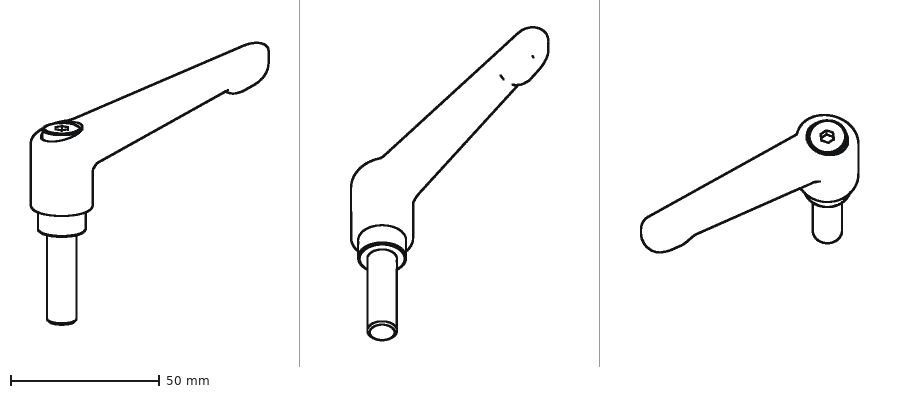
import cadquery as cq
import math


stud_radius = 5.0
stud_length = 32.0
stud_chamfer = 0.8
collar_radius = 8.1
collar_height = 8.0
collar_chamfer = 0.5

hub_radius = 10.5
hub_bottom = collar_height
hub_bottom_fillet = 1.0
recess_radius = 7.0
recess_depth = 5.0

top_slope = math.tan(math.radians(15))
top_z_at_axis = 34.72
top_edge_fillet = 2.0

tip_reach = 78.0
tip_radius = 6.0
tip_y = tip_reach - tip_radius
root_half_width = 7.4
root_y = 7.7
root_fillet = 1.5

grip_angle = math.radians(20)
grip_end_y = 61.3
grip_end_z = 40.8
knob_drop = 3.1
step_angle = math.radians(38)
step_top_radius = 0.3
knob_heel_radius = 5.9
tip_underside_radius = 9.2
tip_clearance = 0.1
throat_y = 10.1
throat_radius = 3.0
under_fillet = 5.7

head_radius = 6.5
head_top = 36.0
head_chamfer = 0.5
hex_across_flats = 4.2
hex_depth = 3.0

clear_top = 70.0
clear_reach = tip_reach + tip_radius
recess_floor = top_z_at_axis - top_slope * recess_radius - recess_depth


def top_z(y):
    """Height of the sloping top face."""
    return top_z_at_axis + top_slope * y


def grip_z(y):
    """Height of the grip's underside."""
    return grip_end_z + math.tan(grip_angle) * (y - grip_end_y)


def knob_z(y):
    """Height of the knob's underside."""
    return grip_z(y) - knob_drop / math.cos(grip_angle)


def make_arm_plan():
    """Prism with the arm's tapered plan, from the hub's bottom up past its top face."""
    taper = math.asin((root_half_width - tip_radius) / (tip_y - root_y))
    tangent_x = tip_radius * math.cos(taper)
    tangent_y = tip_y + tip_radius * math.sin(taper)
    axis_half_width = tangent_x + tangent_y * math.tan(taper)
    return (
        cq.Workplane("XY")
        .workplane(offset=hub_bottom)
        .moveTo(-axis_half_width, 0)
        .lineTo(-tangent_x, tangent_y)
        .threePointArc((0, tip_reach), (tangent_x, tangent_y))
        .lineTo(axis_half_width, 0)
        .close()
        .extrude(clear_top - hub_bottom)
    )


def make_arm_side():
    """Slab with the arm's side outline, wider than the arm, its corners rounded."""
    step_length = knob_drop / math.sin(step_angle + grip_angle)
    heel_y = grip_end_y + step_length * math.cos(step_angle)
    end_y = tip_reach + tip_clearance
    tip_point = (end_y, knob_z(end_y))
    throat_point = (throat_y, grip_z(throat_y))
    step_top_point = (grip_end_y, grip_end_z)
    heel_point = (heel_y, knob_z(heel_y))
    slab = (
        cq.Workplane("YZ")
        .moveTo(0, hub_bottom + hub_bottom_fillet)
        .lineTo(throat_y, hub_bottom + hub_bottom_fillet)
        .lineTo(*throat_point)
        .lineTo(*step_top_point)
        .lineTo(*heel_point)
        .lineTo(*tip_point)
        .lineTo(end_y, clear_top)
        .lineTo(0, clear_top)
        .close()
        .extrude(hub_radius, both=True)
    )
    corners = [
        (throat_point, throat_radius),
        (step_top_point, step_top_radius),
        (heel_point, knob_heel_radius),
        (tip_point, tip_underside_radius),
    ]
    for (y, z), radius in corners:
        slab = slab.edges(cq.selectors.NearestToPointSelector((0, y, z))).fillet(radius)
    return slab


def make_arm():
    """Arm with its underside rounded and its top still uncut."""
    arm = make_arm_plan().intersect(make_arm_side())
    tip_rim = cq.selectors.NearestToPointSelector((0, tip_reach, knob_z(tip_reach)))
    return arm.edges(tip_rim).fillet(under_fillet)


def cut_above_top(body):
    """Trim everything above the sloping top face."""
    start_y = -2 * hub_radius
    above = (
        cq.Workplane("YZ")
        .moveTo(start_y, top_z(start_y))
        .lineTo(clear_reach, top_z(clear_reach))
        .lineTo(clear_reach, 2 * clear_top)
        .lineTo(start_y, 2 * clear_top)
        .close()
        .extrude(2 * hub_radius, both=True)
    )
    return body.cut(above)


def make_handle():
    """Hub and arm in one body, with the recess for the screw head."""
    hub = (
        cq.Workplane("XY")
        .workplane(offset=hub_bottom)
        .circle(hub_radius)
        .extrude(clear_top - hub_bottom)
        .faces("<Z")
        .edges()
        .fillet(hub_bottom_fillet)
    )
    handle = cut_above_top(hub.union(make_arm()))
    root_mid_z = (top_z(root_y) + grip_z(root_y) + under_fillet) / 2
    left_root, right_root = (
        cq.selectors.NearestToPointSelector((side * root_half_width, root_y, root_mid_z))
        for side in (-1, 1)
    )
    handle = handle.edges(left_root + right_root).fillet(root_fillet)
    handle = handle.faces(">Z").edges().fillet(top_edge_fillet)
    recess = (
        cq.Workplane("XY")
        .workplane(offset=recess_floor)
        .circle(recess_radius)
        .extrude(clear_top - recess_floor)
    )
    return handle.cut(recess)


def make_stud():
    """Plain stud with the wider collar that the hub rests on."""
    collar = (
        cq.Workplane("XY")
        .circle(collar_radius)
        .extrude(collar_height)
        .faces("<Z")
        .chamfer(collar_chamfer)
    )
    shank = (
        cq.Workplane("XY")
        .circle(stud_radius)
        .extrude(-stud_length)
        .faces("<Z")
        .chamfer(stud_chamfer)
    )
    return collar.union(shank)


def make_cap_screw():
    """Screw head standing on the recess floor, with a hex socket whose corners point along Y."""
    head = (
        cq.Workplane("XY")
        .workplane(offset=recess_floor)
        .circle(head_radius)
        .extrude(head_top - recess_floor)
        .faces(">Z")
        .chamfer(head_chamfer)
    )
    hex_across_corners = hex_across_flats / math.cos(math.radians(30))
    socket = (
        cq.Workplane("XY")
        .workplane(offset=head_top - hex_depth)
        .transformed(rotate=(0, 0, 90))
        .polygon(6, hex_across_corners)
        .extrude(hex_depth)
    )
    return head.cut(socket)


handle = make_handle()
stud = make_stud()
cap_screw = make_cap_screw()

result = cq.Compound.makeCompound([handle.val(), stud.val(), cap_screw.val()])